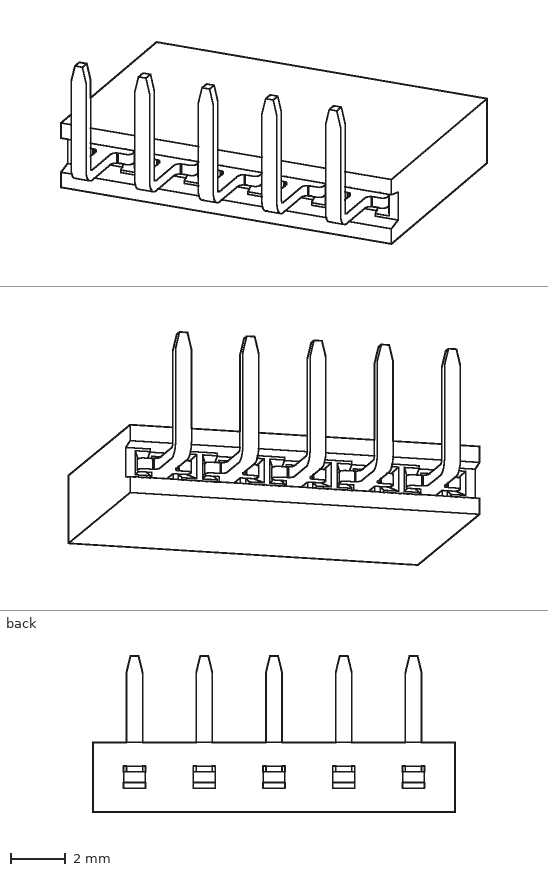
import cadquery as cq
import math


housing_width = 13.2
housing_depth = 8.5
housing_height = 2.54

contact_count = 5
pitch = 2.54
mid_height = housing_height / 2

groove_depth = 0.6
lip_thickness = 0.6
groove_mouth_height = housing_height - 2 * lip_thickness
groove_floor_height = 1.1

pocket_width = 2.32
pocket_height = 0.9
pocket_taper = 0.25
pocket_depth = 0.5

slot_width = 1.2
slot_depth = pocket_depth
opening_size = 0.8

thickness = 0.4
plate_width = 2.0
plate_length = 2.5
plate_corner_radius = 0.18
plate_back = groove_depth

ridge_foot = slot_width / 2
ridge_crest = 0.5
ridge_radius = 0.35
notch_start = 0.45
notch_drop = 0.01
notch_end = 0.36

tail_width = 0.6
tail_reach = 1.8
tail_top = 5.69
bend_inner_radius = 0.15
bend_outer_radius = bend_inner_radius + thickness
tip_width = 0.3
tip_length = 0.62


def centred_box(x, y_start, length, width, height):
    """Box running towards +Y from y_start, centred on x and on the contact height."""
    return cq.Workplane("XY").box(width, length, height).translate((x, y_start + length / 2, mid_height))


def make_groove():
    """Full-width groove with sloping lips."""
    return (
        cq.Workplane("YZ")
        .polyline([
            (0, mid_height - groove_mouth_height / 2),
            (groove_depth, mid_height - groove_floor_height / 2),
            (groove_depth, mid_height + groove_floor_height / 2),
            (0, mid_height + groove_mouth_height / 2),
        ])
        .close()
        .extrude(housing_width / 2, both=True)
    )


def make_pocket(x):
    """Rectangular funnel sunk into the groove floor."""
    return (
        cq.Workplane("XZ", origin=(x, groove_depth, mid_height))
        .rect(pocket_width, pocket_height)
        .workplane(offset=-pocket_depth)
        .rect(pocket_width - 2 * pocket_taper, pocket_height - 2 * pocket_taper)
        .loft(ruled=True)
    )


def arc_rise(radius, run):
    """Distance an arc leaves its tangent line after running along it."""
    return radius - math.sqrt(radius**2 - run**2)


def make_plate(x):
    """Flat plate with rounded corners, a ridge and a relief notch on each side of the tail root."""
    half_plate = plate_width / 2
    half_tail = tail_width / 2
    front = plate_back + plate_length
    bottom = mid_height - thickness / 2
    corner_inset = plate_corner_radius * (1 - math.sqrt(0.5))

    ridge_run = ridge_foot - ridge_crest
    ridge_back = plate_back - arc_rise(ridge_radius, ridge_run)
    ridge_mid = (ridge_foot - ridge_run / 2, plate_back - arc_rise(ridge_radius, ridge_run / 2))

    notch_back = ridge_back + notch_drop
    notch_run = notch_start - half_tail
    notch_length = notch_back - notch_end
    notch_radius = (notch_run**2 + notch_length**2) / (2 * notch_run)
    notch_half_angle = math.atan2(notch_length, notch_radius - notch_run) / 2
    notch_mid = (
        half_tail + notch_radius * (1 - math.cos(notch_half_angle)),
        notch_end + notch_radius * math.sin(notch_half_angle),
    )

    half = (
        cq.Workplane("XY", origin=(x, 0, bottom))
        .moveTo(0, front)
        .lineTo(half_plate, front)
        .lineTo(half_plate, plate_back + plate_corner_radius)
        .threePointArc(
            (half_plate - corner_inset, plate_back + corner_inset),
            (half_plate - plate_corner_radius, plate_back),
        )
        .lineTo(ridge_foot, plate_back)
        .threePointArc(ridge_mid, (ridge_crest, ridge_back))
        .lineTo(notch_start, notch_back)
        .threePointArc(notch_mid, (half_tail, notch_end))
        .lineTo(0, notch_end)
        .close()
        .extrude(thickness)
    )
    return half.union(half.mirror("YZ", (x, 0, 0)))


def make_tail(x):
    """Bent tail: horizontal run out of the housing, bend, then upright with a tapered tip."""
    bottom = mid_height - thickness / 2
    top = mid_height + thickness / 2
    upright_inner = thickness - tail_reach
    diagonal = math.sqrt(0.5)
    bend_y = -tail_reach + bend_outer_radius
    bend_z = bottom + bend_outer_radius
    side = (
        cq.Workplane("YZ", origin=(x, 0, 0))
        .moveTo(plate_back, bottom)
        .lineTo(bend_y, bottom)
        .threePointArc(
            (bend_y - bend_outer_radius * diagonal, bend_z - bend_outer_radius * diagonal),
            (-tail_reach, bend_z),
        )
        .lineTo(-tail_reach, tail_top)
        .lineTo(upright_inner, tail_top)
        .lineTo(upright_inner, bend_z)
        .threePointArc(
            (bend_y - bend_inner_radius * diagonal, bend_z - bend_inner_radius * diagonal),
            (bend_y, top),
        )
        .lineTo(plate_back, top)
        .close()
        .extrude(tail_width / 2, both=True)
    )
    face = (
        cq.Workplane("XZ", origin=(x, plate_back, 0))
        .polyline([
            (-tail_width / 2, 0),
            (tail_width / 2, 0),
            (tail_width / 2, tail_top - tip_length),
            (tip_width / 2, tail_top),
            (-tip_width / 2, tail_top),
            (-tail_width / 2, tail_top - tip_length),
        ])
        .close()
        .extrude(plate_back + tail_reach)
    )
    return side.intersect(face)


def make_contact(x):
    """One contact: plate and tail in a single piece."""
    return make_plate(x).union(make_tail(x))


def make_housing(places, held_contacts):
    """Block with the rear groove and, for each contact, a pocket, slot, opening and fitted seat."""
    block = cq.Workplane("XY").box(
        housing_width, housing_depth, housing_height, centered=(True, False, False)
    )
    block = block.cut(make_groove())
    for x, contact in zip(places, held_contacts):
        block = block.cut(make_pocket(x))
        block = block.cut(centred_box(x, groove_depth, slot_depth, slot_width, groove_floor_height))
        block = block.cut(centred_box(x, groove_depth, housing_depth, opening_size, opening_size))
        block = block.cut(contact)
    return block


contact_places = [(i - (contact_count - 1) / 2) * pitch for i in range(contact_count)]
contacts = [make_contact(x) for x in contact_places]
housing = make_housing(contact_places, contacts)

result = cq.Compound.makeCompound([housing.val(), *[contact.val() for contact in contacts]])